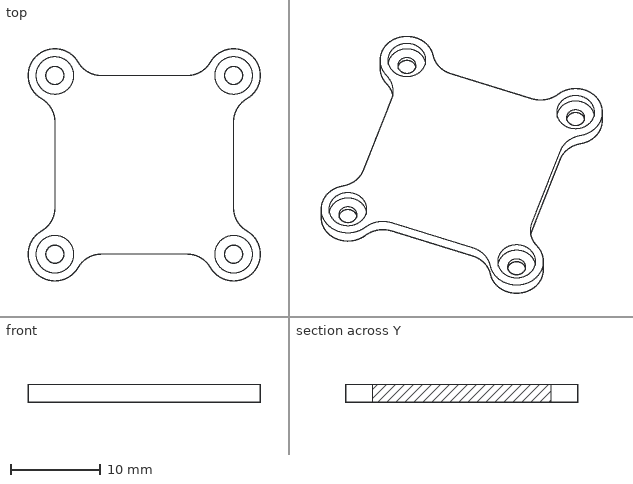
import cadquery as cq
import math

outer_size = 26.0
thickness = 2.0

lobe_diameter = 6.0
lobe_radius = lobe_diameter / 2
blend_radius = lobe_radius

hole_diameter = 2.0
counterbore_diameter = 4.2
counterbore_depth = 1.3

body_side = outer_size - lobe_diameter
half_side = body_side / 2

center_distance = lobe_radius + blend_radius
blend_reach = math.sqrt(center_distance**2 - blend_radius**2)


def blend_piece():
    """Concave fillet between the lobe at (0, 0) and a body edge along +X."""
    touch_fraction = lobe_radius / center_distance
    touch_point = (blend_reach * touch_fraction, blend_radius * touch_fraction)
    start_angle = math.atan2(-blend_radius, -blend_reach)
    middle_angle = (start_angle - math.pi / 2) / 2
    middle_point = (
        blend_reach + blend_radius * math.cos(middle_angle),
        blend_radius + blend_radius * math.sin(middle_angle),
    )
    return (
        cq.Workplane("XY")
        .moveTo(0, 0)
        .lineTo(*touch_point)
        .threePointArc(middle_point, (blend_reach, 0))
        .close()
        .extrude(thickness)
    )


def corner_lobe():
    """Lobe at the +X +Y corner with a blend to each neighbouring edge."""
    lobe = cq.Workplane("XY").circle(lobe_radius).extrude(thickness)
    top_edge_blend = blend_piece().mirror("YZ")
    side_edge_blend = top_edge_blend.rotate((0, 0, 0), (1, 1, 0), 180)
    side_edge_blend = side_edge_blend.translate((0, 0, thickness))
    lobe = lobe.union(top_edge_blend).union(side_edge_blend)
    return lobe.translate((half_side, half_side, 0))


body = cq.Workplane("XY").rect(body_side, body_side).extrude(thickness)
lobe = corner_lobe()
for angle in (0, 90, 180, 270):
    body = body.union(lobe.rotate((0, 0, 0), (0, 0, 1), angle))

result = (
    body.faces(">Z")
    .workplane(origin=(0, 0, thickness))
    .rect(body_side, body_side, forConstruction=True)
    .vertices()
    .cboreHole(hole_diameter, counterbore_diameter, counterbore_depth)
)